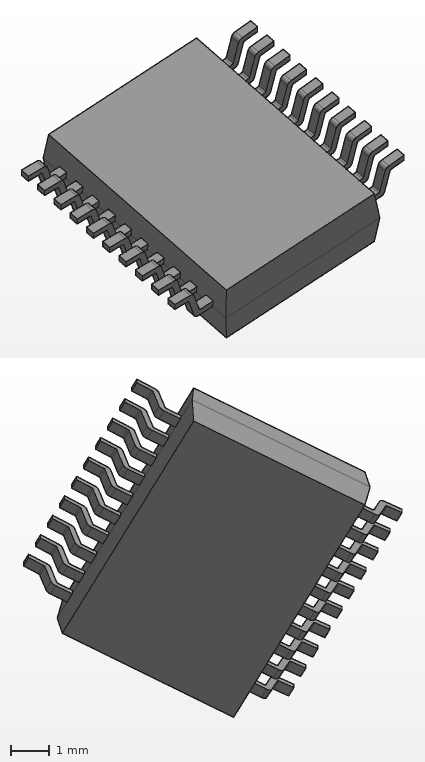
import cadquery as cq
import math

body_length = 7.3
body_width = 5.3
body_height = 1.9
draft_inset = 0.1
parting_z = body_height / 2

leads_per_row = 10
lead_pitch = 0.65
lead_width = 0.28
lead_thickness = 0.2
row_offset_x = 0.05
tip_span = 7.9
overall_height = 2.0
root_depth = 0.2
leg_corner_y = 3.1
leg_angle = math.radians(75)
foot_angle = math.radians(4)
bend_outer_radius = 0.15
bend_inner_radius = 0.05


def tapered_half(end_z):
    """Half of the body, from the parting plane to its smaller flat face."""
    return (
        cq.Workplane("XY")
        .workplane(offset=parting_z)
        .rect(body_length, body_width)
        .workplane(offset=end_z - parting_z)
        .rect(body_length - 2 * draft_inset, body_width - 2 * draft_inset)
        .loft(ruled=True)
    )


def foot_leg_corner(tip_z, leg_y, leg_z):
    """Where a foot line through the tip meets a leg line through (leg_y, leg_z)."""
    tip_y = tip_span / 2
    leg_slope = math.tan(leg_angle)
    foot_slope = math.tan(foot_angle)
    corner_y = (tip_z - leg_z + leg_slope * leg_y - foot_slope * tip_y) / (leg_slope - foot_slope)
    return corner_y, leg_z + leg_slope * (corner_y - leg_y)


def round_bend(shape, corner, radius):
    """Round the lead edge that runs along X through the (y, z) corner."""
    nearest = cq.selectors.NearestToPointSelector((0, corner[0], corner[1]))
    return shape.edges("|X").edges(nearest).fillet(radius)


def make_lead():
    """One gull-wing lead on the +Y side, centred on X = 0."""
    root_y = body_width / 2 - root_depth
    tip_y = tip_span / 2
    root_top_z = parting_z + lead_thickness
    foot_bottom_z = overall_height - lead_thickness / math.cos(foot_angle)
    outer_leg_y = leg_corner_y + lead_thickness * math.tan(leg_angle / 2)
    upper_outer = foot_leg_corner(overall_height, leg_corner_y, root_top_z)
    upper_inner = foot_leg_corner(foot_bottom_z, outer_leg_y, parting_z)
    outline = [
        (root_y, parting_z),
        (outer_leg_y, parting_z),
        upper_inner,
        (tip_y, foot_bottom_z),
        (tip_y, overall_height),
        upper_outer,
        (leg_corner_y, root_top_z),
        (root_y, root_top_z),
    ]
    lead = cq.Workplane("YZ").polyline(outline).close().extrude(lead_width / 2, both=True)

    lead = round_bend(lead, (outer_leg_y, parting_z), bend_outer_radius)
    lead = round_bend(lead, upper_outer, bend_outer_radius)
    lead = round_bend(lead, (leg_corner_y, root_top_z), bend_inner_radius)
    return round_bend(lead, upper_inner, bend_inner_radius)


def make_leads():
    """Both rows of leads, mirrored about the XZ plane."""
    lead = make_lead()
    opposite_lead = lead.mirror("XZ")
    first_x = row_offset_x - lead_pitch * (leads_per_row - 1) / 2
    leads = []
    for index in range(leads_per_row):
        position = (first_x + index * lead_pitch, 0, 0)
        leads.append(lead.translate(position))
        leads.append(opposite_lead.translate(position))
    return leads


result = tapered_half(body_height).union(tapered_half(0))
for placed_lead in make_leads():
    result = result.union(placed_lead)